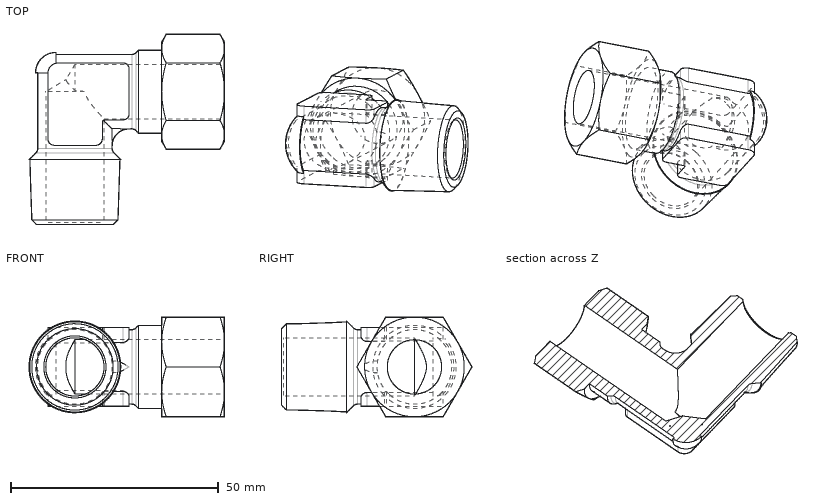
import cadquery as cq
import math

pipe_radius = 9.0
flare_radius = 1.4
flare_angle = 45
flare_start = 13.7

nut_flats = 24.0
nut_start = 20.9
nut_end = 36.0
nut_bevel_angle = 30
shoulder_radius = 10.0

rim_radius = 11.05
thread_radius = 10.85
thread_tip_radius = 10.4
thread_end = 32.0
thread_chamfer = 1.18

thread_bore_radius = 7.0
mouth_radius = 7.5
mouth_depth = 0.45
nut_bore_radius = 6.55
drill_half_angle = 59

plate_half_height = 9.5
plate_left = -6.5
plate_right = 13.1
plate_back = 6.9
plate_front = -12.9
notch_x = 6.6
notch_y = -6.77
heel_corner_radius = 2.5
toe_corner_radius = 1.5
notch_chamfer = 0.38

heel_section_radius = 9.5
heel_bend_radius = 5.0
heel_pivot = heel_section_radius - heel_bend_radius
web_section_radius = 1.4
web_bend_radius = 4.0


def along_x(shape):
    """Turn a shape made along -Y so that it runs along +X."""
    return shape.rotate((0, 0, 0), (0, 0, 1), 90)


def revolve_leg(outline):
    """Revolve an outline drawn at +X about the Y axis."""
    return outline.close().revolve(360, (0, 0, 0), (0, 1, 0))


def flared_outline(end_radius):
    """Pipe outline that flares through an arc into a cone, and the distance where it ends."""

    def flare_point(angle):
        turn = math.radians(angle)
        return (
            pipe_radius + flare_radius * (1 - math.cos(turn)),
            -flare_start - flare_radius * math.sin(turn),
        )

    arc_radius, arc_y = flare_point(flare_angle)
    cone_end = -arc_y + (end_radius - arc_radius) / math.tan(math.radians(flare_angle))
    outline = (
        cq.Workplane("XY")
        .moveTo(0, heel_pivot)
        .lineTo(pipe_radius, heel_pivot)
        .lineTo(pipe_radius, -flare_start)
        .threePointArc(flare_point(flare_angle / 2), flare_point(flare_angle))
        .lineTo(end_radius, -cone_end)
    )
    return outline, cone_end


def threaded_leg():
    """Flare, rim and tapered thread envelope with a chamfered tip."""
    outline, rim_position = flared_outline(rim_radius)
    outline = (
        outline.lineTo(thread_radius, -rim_position)
        .lineTo(thread_tip_radius, -(thread_end - thread_chamfer))
        .lineTo(thread_tip_radius - thread_chamfer, -thread_end)
        .lineTo(0, -thread_end)
    )
    return revolve_leg(outline)


def shoulder_leg():
    """Flared pipe and shoulder, running on through the nut."""
    outline, _ = flared_outline(shoulder_radius)
    outline = outline.lineTo(shoulder_radius, -nut_end).lineTo(0, -nut_end)
    return along_x(revolve_leg(outline))


def union_nut():
    """Hexagon with corners on +Y and -Y, both ends beveled by a cone."""
    flat_radius = nut_flats / 2
    corner_radius = flat_radius / math.cos(math.pi / 6)
    bevel_depth = (corner_radius - flat_radius) * math.tan(math.radians(nut_bevel_angle))
    hexagon = (
        cq.Workplane("YZ")
        .workplane(offset=nut_start)
        .polygon(6, 2 * corner_radius)
        .extrude(nut_end - nut_start)
    )
    envelope = revolve_leg(
        cq.Workplane("XY")
        .moveTo(0, -nut_start)
        .lineTo(flat_radius, -nut_start)
        .lineTo(corner_radius, -nut_start - bevel_depth)
        .lineTo(corner_radius, -nut_end + bevel_depth)
        .lineTo(flat_radius, -nut_end)
        .lineTo(0, -nut_end)
    )
    return hexagon.intersect(along_x(envelope))


def side_plates():
    """L-shaped block through the body, flat at top and bottom."""
    height = 2 * plate_half_height
    base = cq.Workplane("XY").workplane(offset=-plate_half_height)
    block = (
        base.moveTo(plate_left, plate_back)
        .lineTo(plate_right, plate_back)
        .lineTo(plate_right, notch_y)
        .lineTo(notch_x + notch_chamfer, notch_y)
        .lineTo(notch_x, notch_y - notch_chamfer)
        .lineTo(notch_x, plate_front)
        .lineTo(plate_left, plate_front)
        .close()
        .extrude(height)
    )
    heel_edge = cq.selectors.NearestToPointSelector((plate_left, plate_back, 0))
    block = block.edges(heel_edge).fillet(heel_corner_radius)
    toe_corners = [
        (plate_right, plate_back),
        (plate_right, notch_y),
        (notch_x, plate_front),
        (plate_left, plate_front),
    ]
    for x, y in toe_corners:
        toe_edge = cq.selectors.NearestToPointSelector((x, y, 0))
        block = block.edges(toe_edge).fillet(toe_corner_radius)
    return block


def heel():
    """Quarter turn of the pipe section's outer part about a vertical axis inside the heel."""
    section_top = math.sqrt(heel_section_radius**2 - heel_pivot**2)
    return (
        cq.Workplane("XZ", origin=(0, heel_pivot, 0))
        .moveTo(-heel_pivot, -section_top)
        .threePointArc((-heel_section_radius, 0), (-heel_pivot, section_top))
        .close()
        .revolve(90, (-heel_pivot, 0.45, 0), (-heel_pivot, 0, 0))
    )


def inner_web():
    """Quarter bend of round rod lying in the crotch, tangent to both legs."""
    pivot = pipe_radius + web_bend_radius
    axis_offset = web_section_radius + web_bend_radius
    return (
        cq.Workplane("XZ", origin=(0, -pivot, 0))
        .center(pipe_radius - web_section_radius, 0)
        .circle(web_section_radius)
        .revolve(90, (axis_offset, 0.45, 0), (axis_offset, 0, 0))
    )


def drilled_bore(radius, length):
    """Bore from the open end to the bend, closed by a drill point."""
    point_length = radius / math.tan(math.radians(drill_half_angle))
    return revolve_leg(
        cq.Workplane("XY").moveTo(0, point_length).lineTo(radius, 0).lineTo(radius, -length).lineTo(0, -length)
    )


def bore_mouth():
    """Countersink at the open end of the threaded leg."""
    return revolve_leg(
        cq.Workplane("XY")
        .moveTo(0, -thread_end + mouth_depth)
        .lineTo(thread_bore_radius, -thread_end + mouth_depth)
        .lineTo(mouth_radius, -thread_end)
        .lineTo(0, -thread_end)
    )


result = threaded_leg()
for piece in (shoulder_leg(), union_nut(), side_plates(), heel(), inner_web()):
    result = result.union(piece)
result = result.cut(drilled_bore(thread_bore_radius, thread_end))
result = result.cut(along_x(drilled_bore(nut_bore_radius, nut_end)))
result = result.cut(bore_mouth())